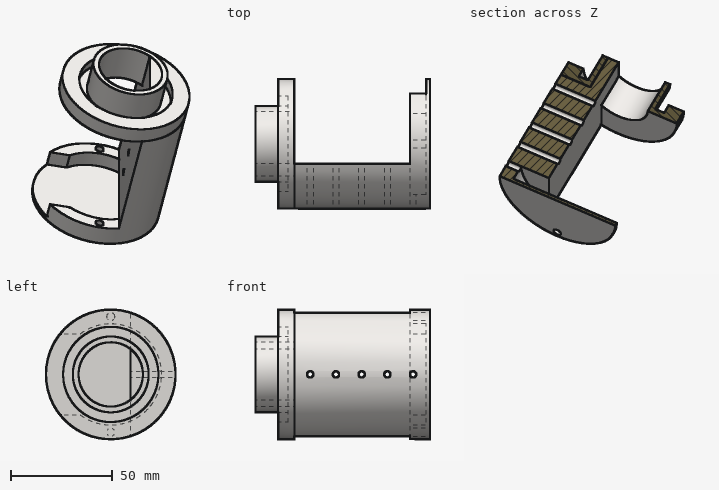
import cadquery as cq

total_length = 86.2
outer_diameter = 64.0
cut_margin = 0.9

sleeve_outer_diameter = 37.4
sleeve_bore_diameter = 31.7
sleeve_projection = 11.2

flange_diameter = outer_diameter
flange_thickness = 8.0
flange_start = sleeve_projection
flange_end = flange_start + flange_thickness
recess_diameter = 47.0
recess_depth = 5.0

bay_floor_y = -9.65
end_cup_length = 10.0
end_cup_start = total_length - end_cup_length

end_wall_thickness = 2.0
cavity_diameter = 50.0
cavity_mouth_width = 40.0
cavity_depth = end_cup_length - end_wall_thickness

rim_hole_diameter = 4.0
rim_hole_radius = (outer_diameter + cavity_diameter) / 4

cross_hole_diameter = 3.0
cross_hole_count = 5
cross_hole_pitch = 12.7
first_cross_hole_x = 27.1


def x_cylinder(diameter, start, length, z=0.0):
    """Cylinder parallel to X, beginning at x = start."""
    return cq.Workplane("YZ", origin=(start, 0, z)).circle(diameter / 2).extrude(length)


def make_hub():
    """Recessed flange and projecting sleeve in one piece, bored through."""
    flange = x_cylinder(flange_diameter, flange_start, flange_thickness)
    recess = x_cylinder(recess_diameter, flange_start, recess_depth)
    sleeve = x_cylinder(sleeve_outer_diameter, 0, flange_end)
    bore = x_cylinder(sleeve_bore_diameter, 0, flange_end)
    return flange.cut(recess).union(sleeve).cut(bore)


def bay_cutter():
    """Removes everything above the flat floor, from the tongue tip to the end cup."""
    height = outer_diameter / 2 + cut_margin - bay_floor_y
    width = outer_diameter + 2 * cut_margin
    return cq.Workplane("XY", origin=(0, bay_floor_y, 0)).box(
        end_cup_start, height, width, centered=(False, False, True)
    )


def cavity_cutter():
    """Round pocket in the end cup with a narrower straight mouth toward +Y."""
    pocket = x_cylinder(cavity_diameter, end_cup_start, cavity_depth)
    mouth = cq.Workplane("XY", origin=(end_cup_start, 0, 0)).box(
        cavity_depth, outer_diameter / 2 + cut_margin, cavity_mouth_width, centered=(False, False, True)
    )
    return pocket.union(mouth)


def cross_hole_cutter(index):
    """One hole parallel to Y, from the outer surface into the open interior."""
    x = first_cross_hole_x + index * cross_hole_pitch
    start_y = -outer_diameter / 2 - cut_margin
    return (
        cq.Workplane("XZ", origin=(x, start_y, 0))
        .circle(cross_hole_diameter / 2)
        .extrude(-(bay_floor_y + cut_margin - start_y))
    )


def make_housing():
    """Solid side, end cup and a D-shaped tongue that fills part of the hub bore."""
    barrel = x_cylinder(outer_diameter, flange_end, total_length - flange_end)
    tongue = x_cylinder(sleeve_bore_diameter, 0, flange_end)
    body = barrel.union(tongue)
    body = body.cut(bay_cutter())
    body = body.cut(cavity_cutter())

    for side in (-1, 1):
        rim_hole = x_cylinder(
            rim_hole_diameter, end_cup_start, end_cup_length + cut_margin, z=side * rim_hole_radius
        )
        body = body.cut(rim_hole)

    for index in range(cross_hole_count):
        body = body.cut(cross_hole_cutter(index))
    return body


hub = make_hub()
housing = make_housing()
result = cq.Compound.makeCompound([housing.val(), hub.val()])